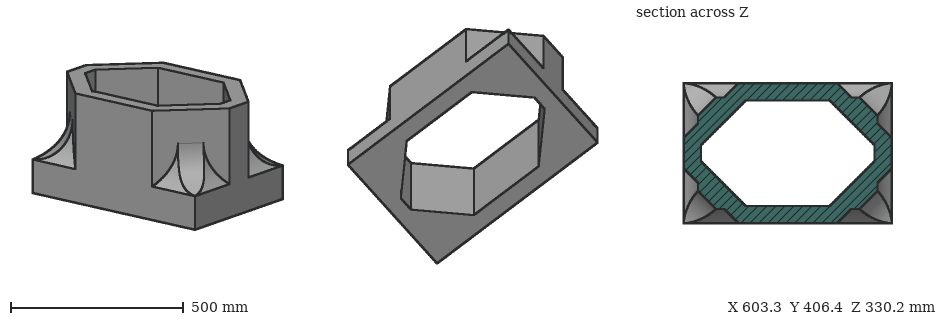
import math

import cadquery as cq

length = 603.25
width = 406.4
height = 330.2

corner_cut = 158.75
wall = 50.8

plinth_height = 101.6
buttress_height = 127.0
buttress_top_share = 1 / 3

side_cove_run = corner_cut * (1 - buttress_top_share) / 2
diagonal_cove_run = corner_cut / math.sqrt(2)

corner_x = -length / 2
corner_y = -width / 2


def octagonal_prism(inset, prism_height):
    """Block with its four upright corners cut, all sides moved inward by inset."""
    cut = corner_cut - inset * (2 - math.sqrt(2))
    return (
        cq.Workplane("XY")
        .rect(length - 2 * inset, width - 2 * inset)
        .extrude(prism_height)
        .edges("|Z")
        .chamfer(cut)
    )


def cove_prism(run, direction):
    """Long prism rising inward from the block corner along a concave arc.

    The arc starts at the top of the plinth and ends upright after the given run.
    """
    radius = (run**2 + buttress_height**2) / (2 * run)
    middle_angle = math.atan2(buttress_height, radius - run) / 2
    arc_middle = (
        run - radius + radius * math.cos(middle_angle),
        buttress_height - radius * math.sin(middle_angle),
    )
    plane = cq.Plane(
        origin=(corner_x, corner_y, plinth_height),
        xDir=direction,
        normal=(direction[1], -direction[0], 0),
    )
    far = 2 * corner_cut
    return (
        cq.Workplane(plane)
        .threePointArc(arc_middle, (run, buttress_height))
        .lineTo(far, buttress_height)
        .lineTo(far, 0)
        .close()
        .extrude(far, both=True)
    )


def corner_wedge():
    """Triangular column filling one cut corner of the block."""
    return (
        cq.Workplane("XY", origin=(corner_x, corner_y, 0))
        .polyline([(0, 0), (corner_cut, 0), (0, corner_cut)])
        .close()
        .extrude(plinth_height + buttress_height)
    )


def corner_buttress():
    """Part of one corner that lies under all three coves."""
    return (
        corner_wedge()
        .intersect(cove_prism(side_cove_run, (1, 0, 0)))
        .intersect(cove_prism(side_cove_run, (0, 1, 0)))
        .intersect(cove_prism(diagonal_cove_run, (1, 1, 0)))
    )


def add_buttresses(body):
    """Place the buttress at all four corners by mirroring."""
    first = corner_buttress()
    side_pair = first.union(first.mirror("YZ"))
    return body.union(side_pair).union(side_pair.mirror("XZ"))


plinth = cq.Workplane("XY").rect(length, width).extrude(plinth_height)
body = plinth.union(octagonal_prism(0, height))
body = add_buttresses(body)
result = body.cut(octagonal_prism(wall, height))